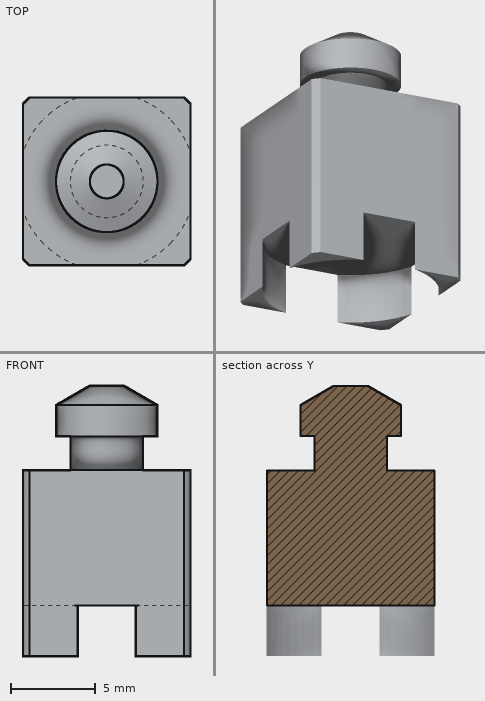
import math
import cadquery as cq

body_width = 9.93
body_height = 11.0
corner_radius = 13.5 / 2

socket_depth = 3.0
socket_radius = 10.5 / 2

total_height = 16.0
neck_radius = 4.3 / 2
neck_height = 2.0
head_radius = 6.0 / 2
tip_radius = 2.0 / 2
cone_angle = 30.0
cone_height = (head_radius - tip_radius) * math.tan(math.radians(cone_angle))


def make_body():
    block = cq.Workplane("XY").rect(body_width, body_width).extrude(body_height)
    round_bar = cq.Workplane("XY").circle(corner_radius).extrude(body_height)
    return block.intersect(round_bar)


def make_socket():
    return cq.Workplane("XY").circle(socket_radius).extrude(socket_depth)


def make_stud():
    head_bottom = body_height + neck_height
    cone_bottom = total_height - cone_height
    half_profile = (
        cq.Workplane("XZ")
        .moveTo(0, body_height)
        .lineTo(neck_radius, body_height)
        .lineTo(neck_radius, head_bottom)
        .lineTo(head_radius, head_bottom)
        .lineTo(head_radius, cone_bottom)
        .lineTo(tip_radius, total_height)
        .lineTo(0, total_height)
        .close()
    )
    return half_profile.revolve(360, (0, 0, 0), (0, 1, 0))


result = make_body().cut(make_socket()).union(make_stud())